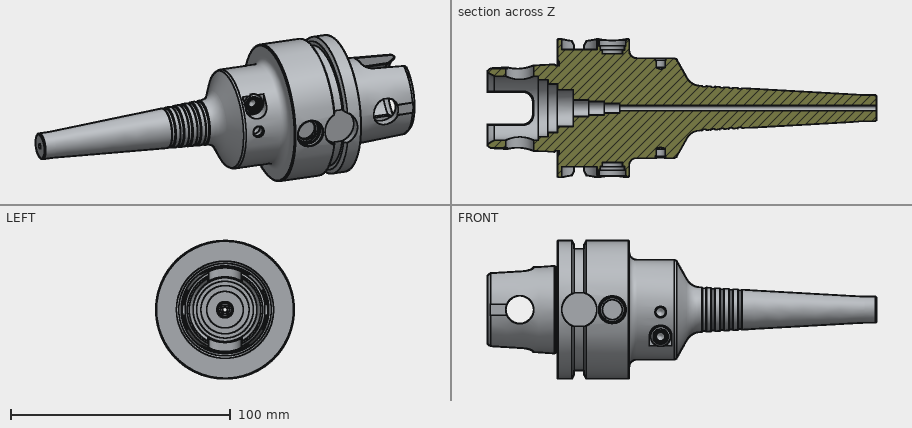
import cadquery as cq
import math

LENGTH = 177

SHANK_NOSE_R = 17.2
SHANK_NOSE_CHAMFER = 1.6
SHANK_FRONT_R = 18.4
SHANK_BACK_R = 20.0
NECK_START = 30.5
NECK_R = 19.5
NECK_SLOPE = 0.7

FLANGE_START = 31.9
FLANGE_END = 64.6
FLANGE_R = 63.0 / 2
FLANGE_FRONT_CHAMFER = 0.4
FLANGE_BACK_CHAMFER = 0.5
FACE_RECESS_R = 21.0
FACE_RECESS_DEPTH = 0.7
FACE_RECESS_CHAMFER = 0.5
FACE_RECESS_RIM_R = 22.1
GRIP_START = 38.4
GRIP_END = 45.0
GRIP_CHAMFER_X = 1.0
GRIP_CHAMFER_R = 2.0
GRIP_FLOOR_R = 27.8

BODY_R = 22.8
BODY_END = 86.0
BODY_FILLET = 3.2
BODY_CHAMFER_X = 1.0
BODY_CHAMFER_R = 0.5
FLARE_ANGLE = math.radians(60)
FLARE_ARC_R = 6.9

TIP_R = 6.0
TIP_LENGTH = 5.5
TIP_CHAMFER = 0.5
SHAFT_START = 96.8
SHAFT_START_R = 10.3
RING_GROOVE_COUNT = 5
RING_GROOVE_START = 97.5
RING_GROOVE_PITCH = 4.0
RING_GROOVE_WIDTH = 2.1
RING_GROOVE_DEPTH = 0.4
RING_GROOVE_SLANT = 0.45

BORE_STEPS = ((14.5, 23), (13.0, 27.5), (11.0, 31.9), (8.3, 39), (3.7, 46), (3.0, 53.1), (2.1, 60.2))
BORE_MOUTH_R = 16.3
BORE_MOUTH_CHAMFER = 1.8
BORE_LEAD_R = 15.2
BORE_LEAD_END = 3.2
THROUGH_R = 2.3 / 2

SLOT_WIDTH = 14.7
SLOT_END = 20.5
SLOT_CORNER_R = 4.5
SLOT_EDGE_CHAMFER = 0.45
CROSS_HOLE_X = 14.7
CROSS_HOLE_DIA = 12.5
STRIP_WIDTH = 5.0
STRIP_FLOOR = 18.0

GRIP_POCKET_X = 41.8
GRIP_POCKET_DIA = 16
GRIP_POCKET_FLOOR = 26.7
SOCKET_X = 56.8
SOCKET_STEPS = ((12.5, 30.8), (12.0, 28.3), (11.0, 26.5), (9.0, 24.8))

SEAT_X = 78.8
SEAT_Z = -12.2
SEAT_DIA = 10.3
SEAT_FLOOR = 16
SCREW_DIA = 9.0
SCREW_DEPTH = 1.8
SCREW_CHAMFER = 1.0
SCREW_KEY_STEPS = ((5.5, 15.2), (4.0, 14.5))
PIN_HOLE_Z = -1.0
PIN_HOLE_STEPS = ((5.1, 21.8), (4.5, 18.5))
CONE_HALF_ANGLE = math.radians(60)

CLEAR = 53.1


def turned(outline):
    """Solid turned about the X axis from a closed outline in (X, radius)."""
    return outline.close().revolve(360, (0, 0, 0), (1, 0, 0))


def cross_cylinder(x, z, dia, floor):
    """Round cutter entering from -Y down to a floor plane at Y = -floor."""
    return cq.Workplane("XZ", origin=(x, -floor, z)).circle(dia / 2).extrude(CLEAR)


def on_both_sides(cutter):
    """Cutter together with its copy turned half a turn about the X axis."""
    return cutter.union(cutter.rotate((0, 0, 0), (1, 0, 0), 180))


def shaft_radius(x):
    """Radius of the tapered shaft at X."""
    slope = (TIP_R - SHAFT_START_R) / (LENGTH - TIP_LENGTH - SHAFT_START)
    return SHAFT_START_R + slope * (x - SHAFT_START)


def outer_body():
    """Turned outside of the part."""
    wall_r = FLANGE_R - GRIP_CHAMFER_R
    arc_start_x = SHAFT_START - FLARE_ARC_R * math.sin(FLARE_ANGLE)
    arc_start_r = SHAFT_START_R + FLARE_ARC_R * (1 - math.cos(FLARE_ANGLE))
    arc_mid_x = SHAFT_START - FLARE_ARC_R * math.sin(FLARE_ANGLE / 2)
    arc_mid_r = SHAFT_START_R + FLARE_ARC_R * (1 - math.cos(FLARE_ANGLE / 2))
    outline = (
        cq.Workplane("XY")
        .lineTo(0, SHANK_NOSE_R)
        .lineTo(SHANK_NOSE_CHAMFER, SHANK_FRONT_R)
        .lineTo(NECK_START, SHANK_BACK_R)
        .lineTo(NECK_START + NECK_SLOPE, NECK_R)
        .lineTo(FLANGE_START + FACE_RECESS_DEPTH, NECK_R)
        .lineTo(FLANGE_START + FACE_RECESS_DEPTH, FACE_RECESS_R)
        .lineTo(FLANGE_START + FACE_RECESS_CHAMFER, FACE_RECESS_R)
        .lineTo(FLANGE_START, FACE_RECESS_RIM_R)
        .lineTo(FLANGE_START, FLANGE_R - FLANGE_FRONT_CHAMFER)
        .lineTo(FLANGE_START + FLANGE_FRONT_CHAMFER, FLANGE_R)
        .lineTo(GRIP_START, FLANGE_R)
        .lineTo(GRIP_START + GRIP_CHAMFER_X, wall_r)
        .lineTo(GRIP_START + GRIP_CHAMFER_X, GRIP_FLOOR_R)
        .lineTo(GRIP_END - GRIP_CHAMFER_X, GRIP_FLOOR_R)
        .lineTo(GRIP_END - GRIP_CHAMFER_X, wall_r)
        .lineTo(GRIP_END, FLANGE_R)
        .lineTo(FLANGE_END - FLANGE_BACK_CHAMFER, FLANGE_R)
        .lineTo(FLANGE_END, FLANGE_R - FLANGE_BACK_CHAMFER)
        .lineTo(FLANGE_END, BODY_R + BODY_FILLET)
        .radiusArc((FLANGE_END + BODY_FILLET, BODY_R), -BODY_FILLET)
        .lineTo(BODY_END - BODY_CHAMFER_X, BODY_R)
        .lineTo(BODY_END, BODY_R - BODY_CHAMFER_R)
        .lineTo(arc_start_x, arc_start_r)
        .threePointArc((arc_mid_x, arc_mid_r), (SHAFT_START, SHAFT_START_R))
        .lineTo(LENGTH - TIP_LENGTH, TIP_R)
        .lineTo(LENGTH - TIP_CHAMFER, TIP_R)
        .lineTo(LENGTH, TIP_R - TIP_CHAMFER)
        .lineTo(LENGTH, 0)
    )
    return turned(outline)


def ring_groove(start):
    """Shallow ring groove with slanted flanks around the tapered shaft."""
    end = start + RING_GROOVE_WIDTH
    floor_start = start + RING_GROOVE_SLANT
    floor_end = end - RING_GROOVE_SLANT
    outline = (
        cq.Workplane("XY")
        .moveTo(start, shaft_radius(start))
        .lineTo(floor_start, shaft_radius(floor_start) - RING_GROOVE_DEPTH)
        .lineTo(floor_end, shaft_radius(floor_end) - RING_GROOVE_DEPTH)
        .lineTo(end, shaft_radius(end))
        .lineTo(end, BODY_R)
        .lineTo(start, BODY_R)
    )
    return turned(outline)


def bore():
    """Stepped bore that narrows toward the tip and runs through the part."""
    outline = (
        cq.Workplane("XY")
        .lineTo(0, BORE_MOUTH_R)
        .lineTo(BORE_MOUTH_CHAMFER, BORE_LEAD_R)
        .lineTo(BORE_LEAD_END, BORE_STEPS[0][0])
    )
    radii = [radius for radius, _ in BORE_STEPS] + [THROUGH_R]
    for (radius, depth), next_radius in zip(BORE_STEPS, radii[1:]):
        outline = outline.lineTo(depth, radius).lineTo(depth, next_radius)
    return turned(outline.lineTo(LENGTH, THROUGH_R).lineTo(LENGTH, 0))


def drive_slot():
    """Slot through the shank along Z, open at the nose, with rounded inner corners."""
    return (
        cq.Workplane("XY")
        .box(2 * SLOT_END, SLOT_WIDTH, CLEAR)
        .edges("|Z")
        .fillet(SLOT_CORNER_R)
    )


def chamfer_slot_edges(body):
    """Body with the long edges of the drive slots broken, outside and in the bore."""
    margin = 0.2
    half_width = SLOT_WIDTH / 2 + margin
    for z_min, z_max in ((SLOT_WIDTH / 2, CLEAR), (-CLEAR, -SLOT_WIDTH / 2)):
        corner_low = (SHANK_NOSE_CHAMFER / 2 + margin, -half_width, z_min)
        corner_high = (SLOT_END + margin, half_width, z_max)
        region = cq.selectors.BoxSelector(corner_low, corner_high)
        edges = body.edges(region).edges("not |Z")
        body = edges.chamfer(SLOT_EDGE_CHAMFER)
    return body


def shank_strip():
    """Narrow flat-bottomed strip from the nose to the cross hole, on the -Y side."""
    return (
        cq.Workplane("XZ", origin=(0, -STRIP_FLOOR, 0))
        .rect(2 * CROSS_HOLE_X, STRIP_WIDTH)
        .extrude(CLEAR)
    )


def stepped_hole(x, z, steps):
    """Round stepped cutter on the -Y side; each step is a diameter and a floor distance."""
    cutter = cq.Workplane("XY")
    for dia, floor in steps:
        cutter = cutter.union(cross_cylinder(x, z, dia, floor))
    return cutter


def drilled_hole(x, z, steps):
    """Stepped hole cutter on the -Y side that ends in a drill point."""
    dia, floor = steps[-1]
    point_depth = dia / 2 / math.tan(CONE_HALF_ANGLE)
    point_base = cq.Vector(x, -floor, z)
    point = cq.Solid.makeCone(dia / 2, 0, point_depth, point_base, cq.Vector(0, 1, 0))
    return stepped_hole(x, z, steps).union(cq.Workplane(point))


def screw_seat():
    """U-shaped flat seat, open toward -Z."""
    open_side = (
        cq.Workplane("XZ", origin=(SEAT_X, -SEAT_FLOOR, SEAT_Z - SEAT_DIA / 2))
        .rect(SEAT_DIA, SEAT_DIA)
        .extrude(CLEAR)
    )
    return cross_cylinder(SEAT_X, SEAT_Z, SEAT_DIA, SEAT_FLOOR).union(open_side)


def screw_gap():
    """Ring cut in the seat floor by the chamfered rim of the balancing screw."""
    root = SEAT_FLOOR - SCREW_DEPTH
    head = (
        cq.Workplane("XZ", origin=(SEAT_X, -root, SEAT_Z))
        .circle(SCREW_DIA / 2)
        .extrude(SCREW_DEPTH)
        .faces("<Y")
        .chamfer(SCREW_CHAMFER)
    )
    return cross_cylinder(SEAT_X, SEAT_Z, SCREW_DIA, root).cut(head)


part = outer_body().cut(bore())
for index in range(RING_GROOVE_COUNT):
    part = part.cut(ring_groove(RING_GROOVE_START + index * RING_GROOVE_PITCH))

part = part.cut(drive_slot())
part = chamfer_slot_edges(part)
part = part.cut(on_both_sides(cross_cylinder(CROSS_HOLE_X, 0, CROSS_HOLE_DIA, 0)))
part = part.cut(on_both_sides(shank_strip()))

grip_pocket = cross_cylinder(GRIP_POCKET_X, 0, GRIP_POCKET_DIA, GRIP_POCKET_FLOOR)
part = part.cut(on_both_sides(grip_pocket))
part = part.cut(on_both_sides(stepped_hole(SOCKET_X, 0, SOCKET_STEPS)))

part = part.cut(on_both_sides(screw_seat()))
part = part.cut(on_both_sides(screw_gap()))
part = part.cut(on_both_sides(drilled_hole(SEAT_X, SEAT_Z, SCREW_KEY_STEPS)))
part = part.cut(on_both_sides(drilled_hole(SEAT_X, PIN_HOLE_Z, PIN_HOLE_STEPS)))

result = part